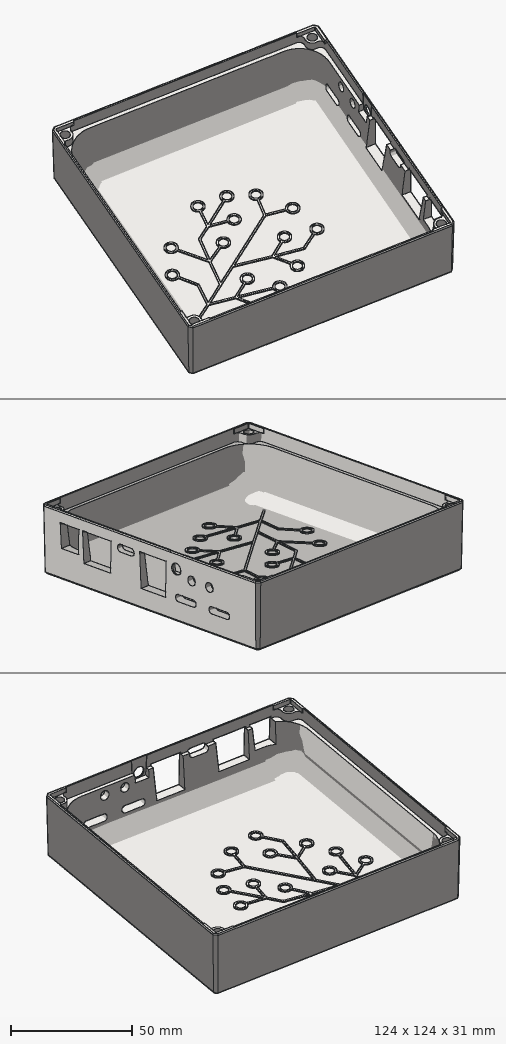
import cadquery as cq
import math

SIDE = 124.0
HEIGHT = 31.0
DRAFT_INSET = 0.6
CORNER_CHAMFER = 1.6
BASE_CHAMFER = 1.0
RIM_CHAMFER = 0.5

FLOOR_Z = 2.1
COVE_RADIUS = 10.8
COVE_TOP_Z = FLOOR_Z + COVE_RADIUS
BOWL_SIDE = 115.3
BOWL_CORNER_RADIUS = 12.4
LEDGE_Z = 24.8
LEDGE_OPENING = 118.3
RIM_WALL = 1.1
RIM_OPENING = SIDE - 2 * RIM_WALL
RECESS_CHAMFER = 1.2

POST_CENTER = 57.5
POST_RADIUS = 3.2
POST_FILLET = 2.5
POST_TOP_Z = 28.8
SCREW_DIAMETER = 4.2
SCREW_DEPTH = 12.4
LIP_WIDTH = 0.5

WINDOW_TOP_Z = 25.7
OPENING_SPREAD = 0.5
WINDOWS = [(-8.8, 5.2, 9.3), (22.6, 37.8, 11.2), (40.9, 50.6, 14.3)]
CUT_START_Y = 49.6
SOCKET_SLOT_CENTER = (13.6, 24.0)
SOCKET_SLOT_SIZE = (9.4, 3.5)
JACK_CENTER = (-15.1, 23.8)
JACK_DIAMETER = 5.2
JACK_POCKET_WIDTH = 6.7
JACK_POCKET_BOTTOM_Z = 21.1
JACK_SKIN = 0.9
LIGHT_DIAMETER = 4.2
LIGHT_CENTERS = [(-34.0, 21.0), (-23.8, 21.0)]
VENT_CENTERS = [(-39.4, 11.0), (-20.3, 11.0)]
VENT_SIZE = (11.7, 3.2)

TRACE_WIDTH = 0.9
TRACE_HEIGHT = 0.5
PAD_INNER_DIAMETER = 4.2
PAD_DIAMETER = PAD_INNER_DIAMETER + 2 * TRACE_WIDTH

ROOT = (38.0, -46.2)
FORK_LOW = (31.9, -37.7)
FORK_MIDDLE = (24.5, -28.0)
FORK_HIGH = (18.0, -19.1)
TRUNK_TIP = (-0.6, 5.7)
TOP_FORK = (21.0, -1.9)
RIGHT_FORK = (33.7, -25.8)
LEFT_FORK = (11.3, -26.2)
LEFT_TIP = (-6.1, -18.0)

TRACES = [
    [ROOT, FORK_LOW, FORK_MIDDLE, FORK_HIGH, TRUNK_TIP],
    [FORK_HIGH, TOP_FORK],
    [FORK_LOW, RIGHT_FORK],
    [FORK_MIDDLE, LEFT_FORK, (-1.5, -24.2), LEFT_TIP],
]
PAD_TRACES = [
    [TRUNK_TIP, (-12.3, 7.7)],
    [TRUNK_TIP, (1.2, 17.7)],
    [TOP_FORK, (22.9, 11.7), (16.0, 21.3)],
    [TOP_FORK, (13.6, 7.5)],
    [TOP_FORK, (30.1, 4.8)],
    [LEFT_FORK, (4.7, -16.4)],
    [LEFT_FORK, (-2.7, -36.8)],
    [LEFT_TIP, (-4.5, -6.6)],
    [LEFT_TIP, (-17.1, -3.3)],
    [LEFT_TIP, (-17.7, -16.5)],
    [RIGHT_FORK, (26.8, -16.7)],
    [RIGHT_FORK, (36.8, -6.8)],
    [RIGHT_FORK, (43.3, -19.1)],
    [FORK_LOW, (20.5, -36.3), (10.7, -43.3)],
]


def square_prism(side, bottom, top):
    return cq.Workplane("XY").workplane(offset=bottom).rect(side, side).extrude(top - bottom)


def outer_shell():
    """Block with cut corners, widest just under the rim chamfer and leaning in below it."""
    shoulder_z = HEIGHT - RIM_CHAMFER
    draft = math.degrees(math.atan(DRAFT_INSET / shoulder_z))
    outline = cq.Sketch().rect(SIDE, SIDE).vertices().chamfer(CORNER_CHAMFER)
    shoulder = cq.Workplane("XY").workplane(offset=shoulder_z).placeSketch(outline)
    body = shoulder.extrude(-shoulder_z, taper=draft)
    body = body.faces("<Z").edges().chamfer(BASE_CHAMFER)
    return body.union(shoulder.extrude(RIM_CHAMFER, taper=45))


def bowl():
    """Cavity below the ledge: coved floor, then walls that lean outward."""
    lower = (
        square_prism(BOWL_SIDE, FLOOR_Z, LEDGE_Z)
        .edges("|Z").fillet(BOWL_CORNER_RADIUS)
        .faces("<Z").edges().fillet(COVE_RADIUS)
    )
    rise = LEDGE_Z - COVE_TOP_Z
    lean = math.degrees(math.atan((LEDGE_OPENING - BOWL_SIDE) / 2 / rise))
    outline = cq.Sketch().rect(BOWL_SIDE, BOWL_SIDE).vertices().fillet(BOWL_CORNER_RADIUS)
    upper = (
        cq.Workplane("XY").workplane(offset=COVE_TOP_Z)
        .placeSketch(outline).extrude(rise, taper=-lean)
    )
    return lower.union(upper)


def corner_post():
    """Post in the +X +Y corner, blended into both rim walls by hollow arcs."""
    wall = RIM_OPENING / 2
    blend_y = wall - POST_FILLET
    rise = blend_y - POST_CENTER
    reach = POST_RADIUS + POST_FILLET
    blend_x = POST_CENTER - math.sqrt(reach ** 2 - rise ** 2)
    toward_post = math.atan2(-rise, POST_CENTER - blend_x)

    def on_blend(angle):
        return (blend_x + POST_FILLET * math.cos(angle), blend_y + POST_FILLET * math.sin(angle))

    def mirrored(point):
        return (point[1], point[0])

    wall_end = (blend_x, wall)
    blend_middle = on_blend((math.pi / 2 + toward_post) / 2)
    blend_end = on_blend(toward_post)
    nose = POST_CENTER - POST_RADIUS * math.sqrt(0.5)
    post = (
        cq.Workplane("XY").workplane(offset=LEDGE_Z)
        .moveTo(*wall_end)
        .threePointArc(blend_middle, blend_end)
        .threePointArc((nose, nose), mirrored(blend_end))
        .threePointArc(mirrored(blend_middle), mirrored(wall_end))
        .lineTo(wall, wall)
        .close()
        .extrude(POST_TOP_Z - LEDGE_Z)
    )
    inner = wall - LIP_WIDTH
    lip = (
        cq.Workplane("XY").workplane(offset=POST_TOP_Z)
        .polyline([
            wall_end, (wall, wall), (wall, blend_x),
            (inner, blend_x), (inner, inner), (blend_x, inner),
        ])
        .close()
        .extrude(HEIGHT - POST_TOP_Z)
    )
    return post.union(lip)


def rim_recess():
    """Space between the ledge and the rim, leaving the four corner posts standing."""
    recess = square_prism(RIM_OPENING, LEDGE_Z, HEIGHT)
    recess = recess.edges("|Z").chamfer(RECESS_CHAMFER)
    post = corner_post()
    for turn in range(4):
        recess = recess.cut(post.rotate((0, 0, 0), (0, 0, 1), 90 * turn))
    return recess


def screw_holes():
    return (
        cq.Workplane("XY").workplane(offset=POST_TOP_Z)
        .rect(2 * POST_CENTER, 2 * POST_CENTER, forConstruction=True).vertices()
        .circle(SCREW_DIAMETER / 2).extrude(-SCREW_DEPTH)
    )


def wall_opening(left, right, bottom, top, end_y):
    """Opening with sides that spread upward, cut into the back wall as far as end_y."""
    return (
        cq.Workplane("XZ", origin=(0, CUT_START_Y, 0))
        .polyline([
            (left, bottom), (right, bottom),
            (right + OPENING_SPREAD, top), (left - OPENING_SPREAD, top),
        ])
        .close()
        .extrude(CUT_START_Y - end_y)
    )


def wall_sketch(center):
    return cq.Workplane("XZ", origin=(center[0], CUT_START_Y, center[1]))


def wall_hole(center, diameter):
    return wall_sketch(center).circle(diameter / 2).extrude(CUT_START_Y - SIDE / 2)


def wall_slot(center, size):
    return wall_sketch(center).slot2D(*size).extrude(CUT_START_Y - SIDE / 2)


def back_wall_cuts():
    cuts = wall_slot(SOCKET_SLOT_CENTER, SOCKET_SLOT_SIZE)
    cuts = cuts.union(wall_hole(JACK_CENTER, JACK_DIAMETER))
    half_pocket = JACK_POCKET_WIDTH / 2
    cuts = cuts.union(wall_opening(
        JACK_CENTER[0] - half_pocket, JACK_CENTER[0] + half_pocket,
        JACK_POCKET_BOTTOM_Z, HEIGHT, SIDE / 2 - JACK_SKIN,
    ))
    for left, right, bottom in WINDOWS:
        cuts = cuts.union(wall_opening(left, right, bottom, WINDOW_TOP_Z, SIDE / 2))
    for center in LIGHT_CENTERS:
        cuts = cuts.union(wall_hole(center, LIGHT_DIAMETER))
    for center in VENT_CENTERS:
        cuts = cuts.union(wall_slot(center, VENT_SIZE))
    return cuts


def trace_segment(start, end):
    """Round-ended ridge between two points on the floor."""
    run_x = end[0] - start[0]
    run_y = end[1] - start[1]
    length = math.hypot(run_x, run_y)
    angle = math.degrees(math.atan2(run_y, run_x))
    middle = ((start[0] + end[0]) / 2, (start[1] + end[1]) / 2, FLOOR_Z)
    return (
        cq.Workplane("XY", origin=middle)
        .slot2D(length + TRACE_WIDTH, TRACE_WIDTH, angle)
        .extrude(TRACE_HEIGHT)
    )


def floor_disc(center, diameter):
    return cq.Workplane("XY", origin=(*center, FLOOR_Z)).circle(diameter / 2).extrude(TRACE_HEIGHT)


def circuit_tree():
    tree = cq.Workplane("XY")
    for path in TRACES + PAD_TRACES:
        for start, end in zip(path, path[1:]):
            tree = tree.union(trace_segment(start, end))
    for path in PAD_TRACES:
        tree = tree.union(floor_disc(path[-1], PAD_DIAMETER))
    for path in PAD_TRACES:
        tree = tree.cut(floor_disc(path[-1], PAD_INNER_DIAMETER))
    return tree


result = (
    outer_shell()
    .cut(bowl())
    .cut(rim_recess())
    .cut(screw_holes())
    .cut(back_wall_cuts())
    .union(circuit_tree())
)